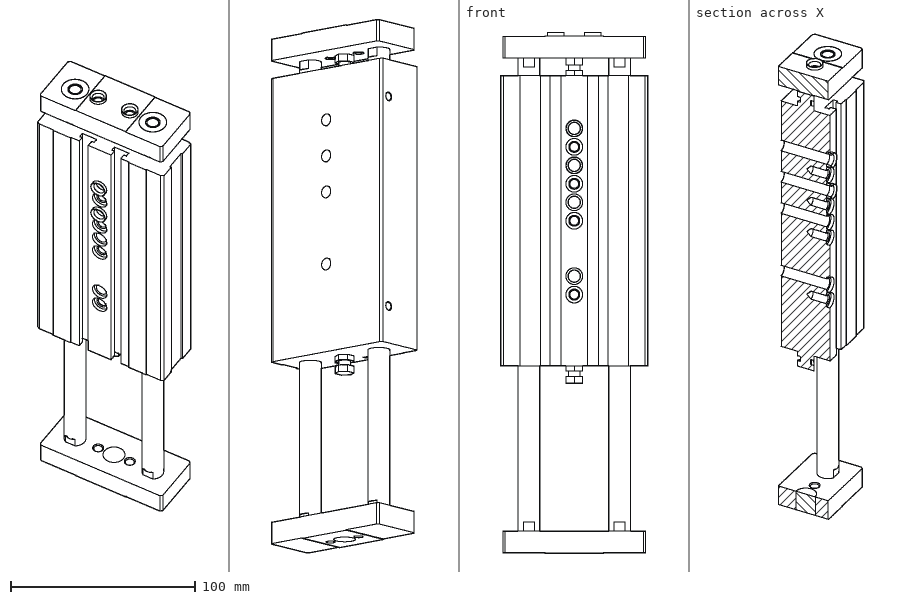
import cadquery as cq


total_height = 282.5

housing_width = 80.0
housing_bottom = 101.7
housing_height = 157.3
housing_back = 15.2
base_front = -14.7
corner_chamfer_x = 1.7
corner_chamfer_y = 0.8
strip_rise = 0.42
center_strip_width = 14.5
side_strip_inner = 18.4
side_strip_outer = 29.5
groove_width = 6.0
lip_depth = 3.7
undercut_width = 9.0
undercut_depth = 2.5
side_slot_width = 12.0
side_slot_depth = 0.8
side_slot_y = -0.3

hole_row_length = 90.0
through_steps = [5, 3, 1, -3]
blind_steps = [4, 2, 0, -4]
sleeve_steps = [5, 3]
hole_pitch = hole_row_length / (through_steps[0] - blind_steps[-1])
through_diameter = 6.5
thread_diameter = 6.0
thread_core_diameter = 4.8
thread_depth = 10.0

port_diameter = 4.8
port_core_diameter = 4.2
port_depth = 8.0
port_y = 9.5
port_spacing = 116.3

sleeve_diameter = 9.0
sleeve_bore = 6.5
sleeve_rim_diameter = 8.8
sleeve_rise = 1.84
sleeve_seat_depth = 2.0

stop_hex_corners = 10.5
stop_neck_diameter = 6.5
stop_neck_length = 2.8
stop_collar_height = 2.8

plate_width = 77.5
plate_depth = 31.0
plate_back = 17.0
plate_thickness = 12.0
plate_chamfer = 1.0
pad_width = 31.5
pad_height = 0.3
plate_hole_offset = hole_pitch

screw_diameter = 15.0
screw_recess = 0.15
socket_rim_diameter = 8.0
socket_diameter = 6.5
socket_depth = 0.3

plug_diameter = 12.0

rod_diameter = 12.0
rod_offset = 24.5
rod_flat_width = 10.2
rod_flat_height = 4.8

housing_top = housing_bottom + housing_height
housing_middle = housing_bottom + housing_height / 2
strip_front = base_front - strip_rise
groove_middle = (center_strip_width + groove_width) / 2
top_pad_face = total_height - sleeve_rise
top_plate_face = top_pad_face - pad_height
top_plate_bottom = top_plate_face - plate_thickness
bottom_plate_top = pad_height + plate_thickness
stop_neck_top = stop_collar_height + stop_neck_length
stop_head_height = top_plate_bottom - housing_top - stop_neck_top


def box(x_min, x_max, y_min, y_max, z_min, z_max):
    """Box between the given limits."""
    size = (x_max - x_min, y_max - y_min, z_max - z_min)
    return cq.Workplane("XY").box(*size, centered=False).translate((x_min, y_min, z_min))


def housing_bar(x_middle, width, y_min, y_max):
    """Bar over the full height of the housing."""
    return box(x_middle - width / 2, x_middle + width / 2, y_min, y_max, housing_bottom, housing_top)


def cylinder(start, direction, diameter, length):
    """Cylinder from a start point along a direction."""
    return cq.Workplane(cq.Solid.makeCylinder(diameter / 2, length, cq.Vector(*start), cq.Vector(*direction)))


def cone(start, direction, start_diameter, end_diameter):
    """90 degree cone from a start point along a direction, narrowing to the end diameter."""
    length = (start_diameter - end_diameter) / 2
    solid = cq.Solid.makeCone(
        start_diameter / 2, end_diameter / 2, length, cq.Vector(*start), cq.Vector(*direction))
    return cq.Workplane(solid)


def threaded_hole(start, direction, diameter, core_diameter, depth):
    """Blind cutter: a countersunk mouth, a core hole and a conical bottom."""
    bottom = [s + depth * d for s, d in zip(start, direction)]
    cutter = cylinder(start, direction, core_diameter, depth)
    cutter = cutter.union(cone(start, direction, diameter, core_diameter))
    return cutter.union(cone(bottom, direction, core_diameter, 0))


def front_hole_z(step):
    return housing_middle + step * hole_pitch



def make_housing_profile():
    """Chamfered bar with raised front strips, two T-grooves and a slot in the +X side."""
    half_width = housing_width / 2
    inner_half = half_width - corner_chamfer_x
    side_front = base_front + corner_chamfer_y
    side_back = housing_back - corner_chamfer_y
    outline = [
        (-inner_half, base_front), (inner_half, base_front),
        (half_width, side_front), (half_width, side_back),
        (inner_half, housing_back), (-inner_half, housing_back),
        (-half_width, side_back), (-half_width, side_front),
    ]
    body = cq.Workplane("XY", origin=(0, 0, housing_bottom)).polyline(outline).close().extrude(housing_height)
    body = body.union(housing_bar(0, center_strip_width, strip_front, base_front))
    side_strip_middle = (side_strip_inner + side_strip_outer) / 2
    side_strip_width = side_strip_outer - side_strip_inner
    lip_bottom = strip_front + lip_depth
    for side in (-1, 1):
        body = body.union(housing_bar(side * side_strip_middle, side_strip_width, strip_front, base_front))
        body = body.cut(housing_bar(side * groove_middle, groove_width, base_front, lip_bottom))
        body = body.cut(
            housing_bar(side * groove_middle, undercut_width, lip_bottom, lip_bottom + undercut_depth))
    slot_middle_x = half_width - side_slot_depth / 2
    slot_front = side_slot_y - side_slot_width / 2
    return body.cut(housing_bar(slot_middle_x, side_slot_depth, slot_front, slot_front + side_slot_width))


def cut_front_holes(body):
    into_front = (0, 1, 0)
    for step in through_steps + blind_steps:
        start = (0, strip_front, front_hole_z(step))
        seat_bottom = (0, strip_front + sleeve_seat_depth, front_hole_z(step))
        body = body.cut(cylinder(start, into_front, sleeve_diameter, sleeve_seat_depth))
        if step in through_steps:
            body = body.cut(cylinder(start, into_front, through_diameter, housing_back - strip_front))
        else:
            body = body.cut(threaded_hole(
                seat_bottom, into_front, thread_diameter, thread_core_diameter, thread_depth))
    return body


def cut_ports(body):
    for side in (-1, 1):
        start = (-housing_width / 2, port_y, housing_middle + side * port_spacing / 2)
        body = body.cut(threaded_hole(start, (1, 0, 0), port_diameter, port_core_diameter, port_depth))
    return body


def make_stop():
    """Hexagonal collar, round neck and hexagonal head, rising from Z = 0 with corners toward Y."""
    collar = cq.Workplane("XY").polygon(6, stop_hex_corners).extrude(stop_collar_height)
    head = cq.Workplane("XY", origin=(0, 0, stop_neck_top)).polygon(6, stop_hex_corners)
    head = head.extrude(stop_head_height)
    neck = cylinder((0, 0, 0), (0, 0, 1), stop_neck_diameter, stop_neck_top)
    return collar.union(neck).union(head).rotate((0, 0, 0), (0, 0, 1), 90)


def make_housing():
    body = cut_ports(cut_front_holes(make_housing_profile()))
    for side in (-1, 1):
        rod_bore = cylinder(
            (side * rod_offset, 0, housing_bottom), (0, 0, 1), rod_diameter, housing_height)
        body = body.cut(rod_bore)
    top_stop = make_stop().translate((0, 0, housing_top))
    bottom_stop = make_stop().mirror("XY").translate((0, 0, housing_bottom))
    return body.union(top_stop).union(bottom_stop)



def make_plate():
    """Plate with its inner face at Z = 0 and a low pad across its outer, upper face."""
    front = plate_back - plate_depth
    plate = box(-plate_width / 2, plate_width / 2, front, plate_back, 0, plate_thickness)
    plate = plate.edges("|Z").chamfer(plate_chamfer)
    pad_top = plate_thickness + pad_height
    plate = plate.union(box(-pad_width / 2, pad_width / 2, front, plate_back, plate_thickness, pad_top))
    for x in (-plate_hole_offset, plate_hole_offset):
        plate = plate.cut(cylinder((x, 0, 0), (0, 0, 1), thread_core_diameter, pad_top))
        plate = plate.cut(cone((x, 0, 0), (0, 0, 1), thread_diameter, thread_core_diameter))
    return plate


def make_top_plate():
    plate = make_plate().translate((0, 0, top_plate_bottom))
    down = (0, 0, -1)
    for side in (-1, 1):
        start = (side * rod_offset, 0, top_plate_face)
        plate = plate.cut(cylinder(start, down, screw_diameter, screw_recess))
        plate = plate.cut(cylinder(start, down, socket_rim_diameter, socket_depth))
        plate = plate.cut(cylinder(start, down, socket_diameter, 2 * socket_depth))
    for x in (-plate_hole_offset, plate_hole_offset):
        plate = plate.cut(cylinder((x, 0, top_pad_face), down, sleeve_diameter, sleeve_seat_depth))
    return plate


def make_plug():
    return cylinder((0, 0, 0), (0, 0, 1), plug_diameter, bottom_plate_top)


def make_bottom_plate():
    plate = make_plate().mirror("XY").translate((0, 0, bottom_plate_top))
    return plate.cut(make_plug())



def make_rod(x):
    """Rod standing between the plates, with two wrench flats at each end."""
    length = top_plate_bottom - bottom_plate_top
    rod = cylinder((x, 0, bottom_plate_top), (0, 0, 1), rod_diameter, length)
    radius = rod_diameter / 2
    flat_y = rod_flat_width / 2
    for z in (bottom_plate_top, top_plate_bottom - rod_flat_height):
        for y_min, y_max in ((-radius, -flat_y), (flat_y, radius)):
            rod = rod.cut(box(x - radius, x + radius, y_min, y_max, z, z + rod_flat_height))
    return rod



def make_sleeve(seat, direction):
    """Ring from the bottom of its seat outward, with a flared bore at the outer end."""
    length = sleeve_seat_depth + sleeve_rise
    tip = [s + length * d for s, d in zip(seat, direction)]
    inward = [-d for d in direction]
    sleeve = cylinder(seat, direction, sleeve_diameter, length)
    sleeve = sleeve.cut(cylinder(seat, direction, sleeve_bore, length))
    return sleeve.cut(cone(tip, inward, sleeve_rim_diameter, sleeve_bore))


housing = make_housing()
top_plate = make_top_plate()
bottom_plate = make_bottom_plate()
plug = make_plug()
rods = [make_rod(side * rod_offset) for side in (-1, 1)]
top_sleeves = [
    make_sleeve((x, 0, top_pad_face - sleeve_seat_depth), (0, 0, 1))
    for x in (-plate_hole_offset, plate_hole_offset)
]
front_sleeves = [
    make_sleeve((0, strip_front + sleeve_seat_depth, front_hole_z(step)), (0, -1, 0))
    for step in sleeve_steps
]

bodies = [housing, top_plate, bottom_plate, plug, *rods, *top_sleeves, *front_sleeves]
result = cq.Compound.makeCompound([body.solids().val() for body in bodies])